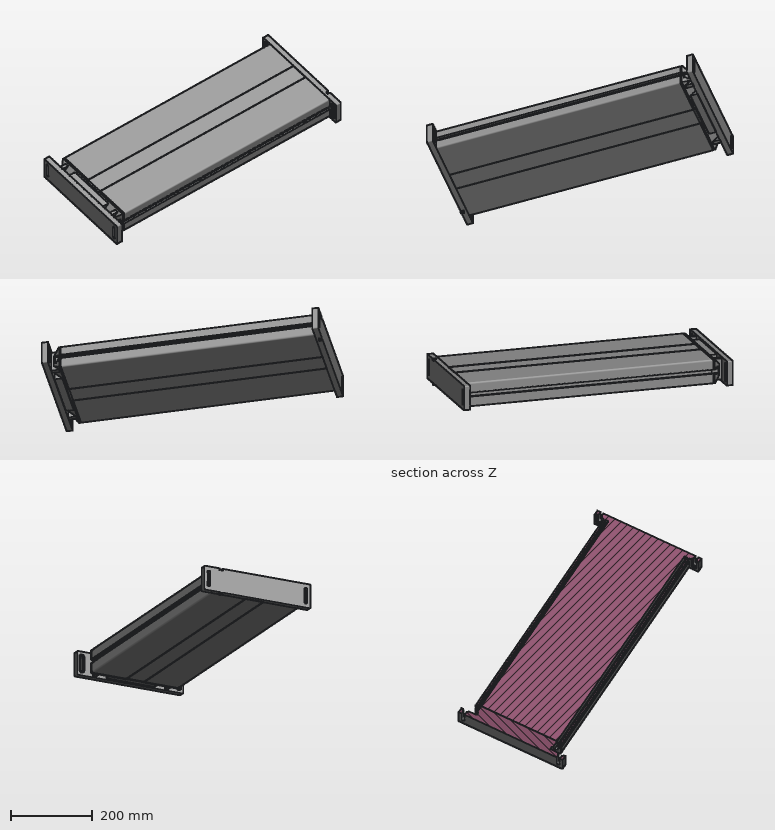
import cadquery as cq

TOTAL_LENGTH = 690.0
FLANGE_WIDTH = 292.0
FLANGE_HEIGHT = 62.0
FLANGE_THICKNESS = 15.0
FLANGE_FILLET = 3.0
SLOT_SPACING = 266.0
SLOT_LENGTH = 40.0
SLOT_WIDTH = 7.5
SLOT_RECESS_MARGIN = 3.5
SLOT_RECESS_DEPTH = 4.0

KEY_X = 99.5
KEY_WIDTH = 5.5
KEY_DEPTH = 8.0
KEY_HEIGHT = 4.0
NOTCH_WIDTH = 10.0
NOTCH_DEPTH = 7.0

PROFILE_WIDTH = 240.0
PROFILE_HEIGHT = 61.5
PROFILE_FILLET = 4.0
BAND_WIDTH = 48.0
BAND_DEPTH = 1.5
TSLOT_MOUTH = 10.5
TSLOT_LIP = 6.0
TSLOT_CAVITY = 18.0
TSLOT_DEPTH = 13.0

JOINT_TO_FLANGE = 27.0
RIM_LENGTH = 4.0
RIM_INSET = 1.0
NOSE_TAPER = 45
RIB_HEIGHT = 54.0
CENTRE_RIB_WIDTH = 134.0
SIDE_RIB_WIDTH = 10.0
SIDE_RIB_X = 99.0

FRONT_Y = -TOTAL_LENGTH / 2
REAR_Y = TOTAL_LENGTH / 2
FRONT_FLANGE_Y = FRONT_Y + FLANGE_THICKNESS
REAR_FLANGE_Y = REAR_Y - FLANGE_THICKNESS
JOINT_Y = FRONT_FLANGE_Y + JOINT_TO_FLANGE
NOSE_Y = JOINT_Y - RIM_LENGTH


def block(width, height, front_y, rear_y, x=0, z=0):
    """Box centred on x and z that runs from front_y to rear_y."""
    return cq.Workplane("XY").box(width, rear_y - front_y, height).translate((x, (front_y + rear_y) / 2, z))


def slot_pair(length, width, front_y, rear_y):
    """Upright slots near both ends of a flange, running from front_y to rear_y."""
    return (
        cq.Workplane("XZ", origin=(0, rear_y, 0))
        .rarray(SLOT_SPACING, 7, 2, 1)
        .slot2D(length, width, 90)
        .extrude(rear_y - front_y)
    )


def flange(front_y, recess_front_y):
    """End plate from front_y with slots that are widened from recess_front_y over the recess depth."""
    rear_y = front_y + FLANGE_THICKNESS
    recess_length = SLOT_LENGTH + 2 * SLOT_RECESS_MARGIN
    recess_width = SLOT_WIDTH + 2 * SLOT_RECESS_MARGIN
    plate = block(FLANGE_WIDTH, FLANGE_HEIGHT, front_y, rear_y).edges("|Y").fillet(FLANGE_FILLET)
    plate = plate.cut(slot_pair(SLOT_LENGTH, SLOT_WIDTH, front_y, rear_y))
    return plate.cut(slot_pair(recess_length, recess_width, recess_front_y, recess_front_y + SLOT_RECESS_DEPTH))


def profile_grooves(front_y, rear_y):
    """Shallow top and bottom bands and the T-slots of both sides."""
    bands = [
        block(BAND_WIDTH, 2 * BAND_DEPTH, front_y, rear_y, z=side * PROFILE_HEIGHT / 2) for side in (-1, 1)
    ]
    grooves = bands[0].union(bands[1])
    cavity_width = TSLOT_DEPTH - TSLOT_LIP
    cavity_x = PROFILE_WIDTH / 2 - TSLOT_LIP - cavity_width / 2
    for side in (-1, 1):
        mouth = block(2 * TSLOT_DEPTH, TSLOT_MOUTH, front_y, rear_y, x=side * PROFILE_WIDTH / 2)
        cavity = block(cavity_width, TSLOT_CAVITY, front_y, rear_y, x=side * cavity_x)
        grooves = grooves.union(mouth).union(cavity)
    return grooves


def profile(front_y, rear_y):
    """Plain profile bar with rounded long edges."""
    return block(PROFILE_WIDTH, PROFILE_HEIGHT, front_y, rear_y).edges("|Y").fillet(PROFILE_FILLET)


def stacking_key():
    """Peg that hangs below the rear flange, flush with its rear face."""
    key_top_z = -FLANGE_HEIGHT / 2
    return block(KEY_WIDTH, KEY_HEIGHT, REAR_Y - KEY_DEPTH, REAR_Y, x=KEY_X, z=key_top_z - KEY_HEIGHT / 2)


def stacking_notch():
    """Tapered notch in the top of the rear flange, open to its rear face."""
    return (
        cq.Workplane("XY", origin=(KEY_X, REAR_Y, FLANGE_HEIGHT / 2 - KEY_HEIGHT))
        .moveTo(-NOTCH_WIDTH / 2, 0)
        .lineTo(-KEY_WIDTH / 2, -NOTCH_DEPTH)
        .lineTo(KEY_WIDTH / 2, -NOTCH_DEPTH)
        .lineTo(NOTCH_WIDTH / 2, 0)
        .close()
        .extrude(KEY_HEIGHT)
    )


def make_housing():
    """Long grooved profile with the rear flange."""
    bar = profile(JOINT_Y, REAR_FLANGE_Y).cut(profile_grooves(JOINT_Y, REAR_FLANGE_Y))
    return bar.union(flange(REAR_FLANGE_Y, REAR_FLANGE_Y)).union(stacking_key()).cut(stacking_notch())


def tapered_nose():
    """Profile section that narrows from the cap rim to the front flange."""
    return (
        cq.Workplane("XZ", origin=(0, NOSE_Y, 0))
        .rect(PROFILE_WIDTH, PROFILE_HEIGHT)
        .extrude(NOSE_Y - FRONT_FLANGE_Y, taper=NOSE_TAPER)
        .intersect(profile(FRONT_FLANGE_Y, NOSE_Y))
    )


def make_end_cap():
    """Inset rim, tapered nose and ribs that carry the front flange."""
    rim = block(PROFILE_WIDTH - 2 * RIM_INSET, PROFILE_HEIGHT - 2 * RIM_INSET, NOSE_Y, JOINT_Y)
    cap = rim.edges("|Y").fillet(PROFILE_FILLET - RIM_INSET).union(tapered_nose())
    cap = cap.cut(profile_grooves(FRONT_FLANGE_Y, JOINT_Y))
    cap = cap.union(block(CENTRE_RIB_WIDTH, RIB_HEIGHT, FRONT_FLANGE_Y, NOSE_Y))
    for side in (-1, 1):
        cap = cap.union(block(SIDE_RIB_WIDTH, RIB_HEIGHT, FRONT_FLANGE_Y, NOSE_Y, x=side * SIDE_RIB_X))
    return cap.union(flange(FRONT_Y, FRONT_FLANGE_Y - SLOT_RECESS_DEPTH))


housing = make_housing()
end_cap = make_end_cap()

result = cq.Compound.makeCompound([housing.solids().val(), end_cap.solids().val()])